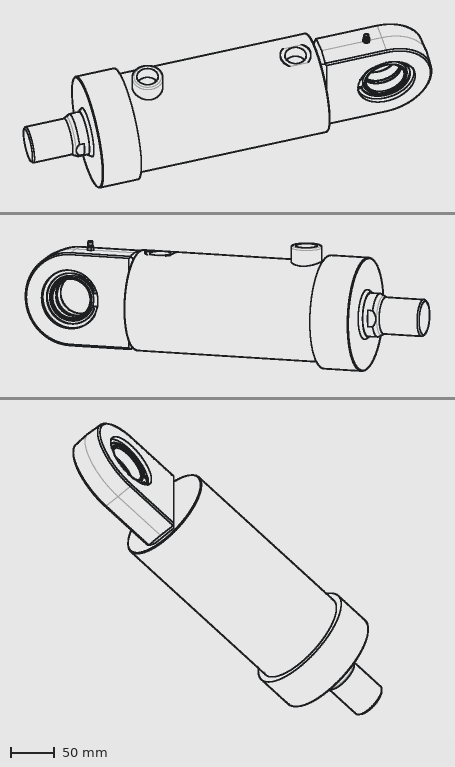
import cadquery as cq
import math


head_diameter = 130.0
head_length = 46.0
head_chamfer = 1.0
barrel_diameter = 115.0
barrel_end = 271.5
barrel_chamfer = 1.0
wiper_base_diameter = 57.0
wiper_tip_diameter = 51.0
wiper_length = 4.5

port_boss_diameter = 35.0
port_boss_top = 75.5
port_boss_root = 52.0
port_boss_round = 2.0
port_boss_y = 71.5
port_spot_y = 247.0
port_spot_z = 56.0
port_bore_diameter = 24.0
port_bore_depth = 15.5
drill_point_angle = 118

overall_length = 474
rod_reach = 70.0
eye_radius = 55.0
eye_thickness = 41.5
eye_draft = 3
eye_embedding = 19.0
eye_edge_chamfer = 2.0
weld_bevel = 6.0
eye_y = overall_length - rod_reach - eye_radius

bearing_outer_diameter = 68.0
bearing_bore_diameter = 45.0
outer_race_width = 27.0
inner_race_width = 32.0
inner_race_face_diameter = 50.0
bore_chamfer = 1.5
ring_groove_diameter = 71
ring_inner_diameter = 59.0
ring_thickness = 2.5
ring_gap = 15.0
ring_lug_height = 4.5
ring_lug_inset = 2.0
oil_groove_width = 4.0
oil_groove_depth = 1.0

nipple_y = 331.0
nipple_top = 65.0
nipple_hex_width = 7.0
nipple_hex_top = 58.0
nipple_collar_diameter = 6.5
nipple_head_diameter = 5.5
nipple_collar_top = 59.2
nipple_neck_diameter = 4.4
nipple_neck_top = 60.5
nipple_head_edge = 63.5
nipple_tip_diameter = 4.4
nipple_embedding = 2.5

rod_diameter = 50.0
rod_shoulder_start = 15.5
rod_shoulder_end = 20.0
rod_shoulder_diameter = 45.5
rod_spigot_start = 22.8
rod_spigot_diameter = 42.0
rod_tip_chamfer = 2.0
rod_flat_distance = 46.0
rod_flat_start = 10.0


def revolve_about_y(points):
    """Revolve a closed (radius, y) outline about the cylinder axis."""
    return cq.Workplane("XY").polyline(points).close().revolve(360, (0, 0), (0, 1))


def revolve_about_pin(points):
    """Revolve a closed (x, radius) outline about the pin axis of the eye."""
    outline = cq.Workplane("XY").polyline(points).close().revolve(360, (0, 0), (1, 0))
    return outline.translate((0, eye_y, 0))


def upright_cylinder(diameter, y, bottom, top):
    """Cylinder along Z between two heights."""
    return cq.Workplane("XY", origin=(0, y, bottom)).circle(diameter / 2).extrude(top - bottom)


def make_tube():
    """Head, barrel and wiper cone, with a blind hole for the rod."""
    head_r = head_diameter / 2
    barrel_r = barrel_diameter / 2
    rod_r = rod_diameter / 2
    return revolve_about_y([
        (rod_r, -wiper_length),
        (wiper_tip_diameter / 2, -wiper_length),
        (wiper_base_diameter / 2, 0),
        (head_r - head_chamfer, 0),
        (head_r, head_chamfer),
        (head_r, head_length),
        (barrel_r, head_length),
        (barrel_r, barrel_end - barrel_chamfer),
        (barrel_r - barrel_chamfer, barrel_end),
        (0, barrel_end),
        (0, head_length),
        (rod_r, head_length),
    ])


def make_eye_half(direction):
    """Half of the eye, drafted away from the parting plane X = 0."""
    plane = cq.Plane(origin=(0, 0, 0), xDir=(0, direction, 0), normal=(direction, 0, 0))
    outer = eye_y + eye_radius
    root = barrel_end - eye_embedding
    return (
        cq.Workplane(plane)
        .moveTo(direction * root, -eye_radius)
        .lineTo(direction * eye_y, -eye_radius)
        .threePointArc((direction * outer, 0), (direction * eye_y, eye_radius))
        .lineTo(direction * root, eye_radius)
        .close()
        .extrude(eye_thickness / 2, taper=eye_draft)
        .faces(">X" if direction > 0 else "<X")
        .chamfer(eye_edge_chamfer)
    )


def make_eye():
    """Drafted eye with a 45 degree weld bevel all round where it meets the barrel."""
    eye = make_eye_half(1).union(make_eye_half(-1))
    root_width = eye_thickness - 2 * weld_bevel
    root_height = 2 * (eye_radius - weld_bevel)
    envelope_length = overall_length - rod_reach - barrel_end
    root_face = cq.Plane(origin=(0, barrel_end, 0), xDir=(-1, 0, 0), normal=(0, 1, 0))
    bevel_envelope = (
        cq.Workplane(root_face)
        .rect(root_width, root_height)
        .workplane(offset=envelope_length)
        .rect(root_width + 2 * envelope_length, root_height + 2 * envelope_length)
        .loft(ruled=True)
    )
    return eye.intersect(bevel_envelope)


def make_port_bore(y, top):
    """Drilled port with a conical bottom."""
    radius = port_bore_diameter / 2
    floor = top - port_bore_depth
    point = radius / math.tan(math.radians(drill_point_angle / 2))
    return (
        cq.Workplane("XZ")
        .polyline([(0, top), (radius, top), (radius, floor), (0, floor - point)])
        .close()
        .revolve(360, (0, 0), (0, 1))
        .translate((0, y, 0))
    )


def make_nipple():
    """Hexagon foot with a turned collar, neck and tapered head."""
    head_r = nipple_head_diameter / 2
    collar_r = nipple_collar_diameter / 2
    neck_r = nipple_neck_diameter / 2
    foot = eye_radius - nipple_embedding
    turned = (
        cq.Workplane("XZ")
        .polyline([
            (0, foot),
            (collar_r, foot),
            (collar_r, nipple_collar_top),
            (neck_r, nipple_collar_top),
            (neck_r, nipple_neck_top),
            (head_r, nipple_neck_top),
            (head_r, nipple_head_edge),
            (nipple_tip_diameter / 2, nipple_top),
            (0, nipple_top),
        ])
        .close()
        .revolve(360, (0, 0), (0, 1))
    )
    hexagon = (
        cq.Workplane("XY", origin=(0, 0, foot))
        .polygon(6, nipple_hex_width, circumscribed=True)
        .extrude(nipple_hex_top - foot)
    )
    return turned.union(hexagon).translate((0, nipple_y, 0))


def make_bearing_seat():
    """Through hole for the bearing with a groove beside each end of the outer race."""
    hole_r = bearing_outer_diameter / 2
    groove_r = ring_groove_diameter / 2
    groove_inner = outer_race_width / 2
    groove_outer = groove_inner + ring_thickness
    face = eye_thickness / 2
    return revolve_about_pin([
        (-face, 0),
        (-face, hole_r),
        (-groove_outer, hole_r),
        (-groove_outer, groove_r),
        (-groove_inner, groove_r),
        (-groove_inner, hole_r),
        (groove_inner, hole_r),
        (groove_inner, groove_r),
        (groove_outer, groove_r),
        (groove_outer, hole_r),
        (face, hole_r),
        (face, 0),
    ])


def make_housing():
    """Cylinder tube and eye in one piece, with ports, grease nipple and bearing seat."""
    boss = upright_cylinder(port_boss_diameter, port_boss_y, port_boss_root, port_boss_top)
    boss = boss.faces(">Z").edges().fillet(port_boss_round)
    spot = upright_cylinder(port_boss_diameter, port_spot_y, port_spot_z, port_boss_top)
    return (
        make_tube()
        .union(make_eye())
        .union(boss)
        .union(make_nipple())
        .cut(spot)
        .cut(make_port_bore(port_boss_y, port_boss_top))
        .cut(make_port_bore(port_spot_y, port_spot_z))
        .cut(make_bearing_seat())
    )


def make_races():
    """Inner race with a spherical outside, carried by the outer race."""
    outer_r = bearing_outer_diameter / 2
    bore_r = bearing_bore_diameter / 2
    face_r = inner_race_face_diameter / 2
    outer_half = outer_race_width / 2
    inner_half = inner_race_width / 2
    groove_half = oil_groove_width / 2
    groove_r = bore_r + oil_groove_depth
    ball_r = math.hypot(inner_half, face_r)
    arc_x = (outer_half + inner_half) / 2
    arc_r = math.sqrt(ball_r ** 2 - arc_x ** 2)
    seam_r = math.sqrt(ball_r ** 2 - outer_half ** 2)
    return (
        cq.Workplane("XY")
        .moveTo(inner_half, face_r)
        .threePointArc((arc_x, arc_r), (outer_half, seam_r))
        .lineTo(outer_half, outer_r)
        .lineTo(-outer_half, outer_r)
        .lineTo(-outer_half, seam_r)
        .threePointArc((-arc_x, arc_r), (-inner_half, face_r))
        .lineTo(-inner_half, bore_r + bore_chamfer)
        .lineTo(-inner_half + bore_chamfer, bore_r)
        .lineTo(-groove_half, bore_r)
        .lineTo(-groove_half, groove_r)
        .lineTo(groove_half, groove_r)
        .lineTo(groove_half, bore_r)
        .lineTo(inner_half - bore_chamfer, bore_r)
        .lineTo(inner_half, bore_r + bore_chamfer)
        .close()
        .revolve(360, (0, 0), (1, 0))
        .translate((0, eye_y, 0))
    )


def make_retaining_ring(side):
    """Open ring in the seat groove, its two lugs beside the gap facing the barrel."""
    inner_r = ring_inner_diameter / 2
    groove_r = ring_groove_diameter / 2
    start = outer_race_width / 2 if side > 0 else -outer_race_width / 2 - ring_thickness
    plane = cq.Workplane("YZ", origin=(start, eye_y, 0))
    ring = plane.circle(groove_r).circle(inner_r).extrude(ring_thickness)
    lug_tip = inner_r - ring_lug_inset
    lug_root = (inner_r + groove_r) / 2
    lugs = (
        plane.center(-(lug_tip + lug_root) / 2, 0)
        .rect(lug_root - lug_tip, ring_gap + 2 * ring_lug_height)
        .extrude(ring_thickness)
    )
    gap = plane.center(-groove_r, 0).rect(groove_r, ring_gap).extrude(ring_thickness)
    return ring.union(lugs).cut(gap)


def make_bearing():
    """Races together with the retaining rings that hold them in the eye."""
    return make_races().union(make_retaining_ring(-1)).union(make_retaining_ring(1))


def make_rod():
    """Rod seated in the head, with wrench flats, a shoulder and a thinner spigot."""
    rod_r = rod_diameter / 2
    spigot_r = rod_spigot_diameter / 2
    rod = revolve_about_y([
        (0, head_length),
        (rod_r, head_length),
        (rod_r, -rod_shoulder_start),
        (rod_shoulder_diameter / 2, -rod_shoulder_end),
        (spigot_r, -rod_spigot_start),
        (spigot_r, -rod_reach + rod_tip_chamfer),
        (spigot_r - rod_tip_chamfer, -rod_reach),
        (0, -rod_reach),
    ])
    flat_y = -(rod_spigot_start + rod_flat_start) / 2
    flat_length = rod_spigot_start - rod_flat_start
    for side in (-1, 1):
        cutter = cq.Workplane("XY").box(rod_r, flat_length, rod_diameter)
        rod = rod.cut(cutter.translate((side * (rod_flat_distance + rod_r) / 2, flat_y, 0)))
    return rod


housing = make_housing()
rod = make_rod()
bearing = make_bearing()
result = cq.Compound.makeCompound([housing.val(), rod.val(), bearing.val()])